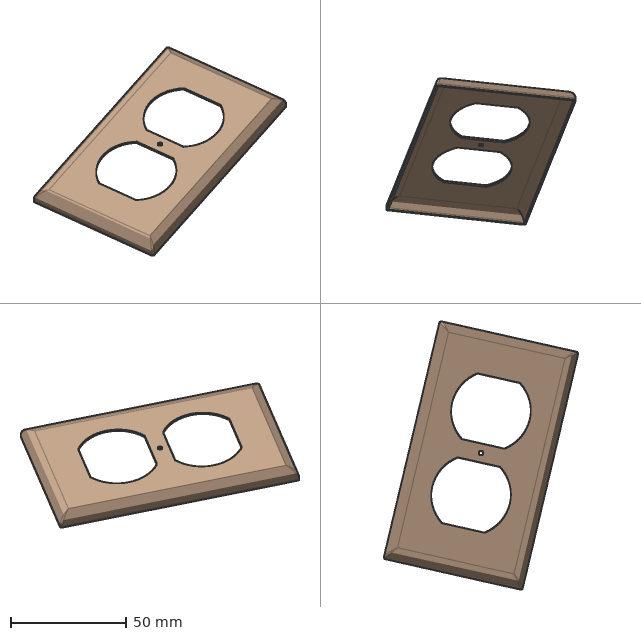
import cadquery as cq

width = 62.0
length = 108.5
height = 6.0
edge_radius = 5.0
corner_radius = 1.0

wall = 1.0

opening_pitch = 38.4
opening_width = 34.5
opening_height = 30.1
opening_flat = 18.9

screw_diameter = 2.0


def rounded_cushion(x_size, y_size, z_size, radius):
    """Block with rounded top edges that meet in mitres at sharp corners."""
    block = cq.Workplane("XY").box(x_size, y_size, z_size, centered=(True, True, False))
    return block.faces(">Z").edges().fillet(radius)


def outer_body():
    """Outer plate shape with its mitred corners softened."""
    body = rounded_cushion(width, length, height, edge_radius)
    return body.edges("|Z").fillet(corner_radius)


def underside_hollow():
    """Space under the plate, one wall thickness inside the outer surface."""
    return rounded_cushion(width - 2 * wall, length - 2 * wall, height - wall, edge_radius - wall)


def receptacle_opening(y_center):
    """Through cutter with flat ends and arc sides."""
    half_flat = opening_flat / 2
    half_width = opening_width / 2
    half_height = opening_height / 2
    return (
        cq.Workplane("XY")
        .center(0, y_center)
        .moveTo(-half_flat, half_height)
        .lineTo(half_flat, half_height)
        .threePointArc((half_width, 0), (half_flat, -half_height))
        .lineTo(-half_flat, -half_height)
        .threePointArc((-half_width, 0), (-half_flat, half_height))
        .close()
        .extrude(height)
    )


plate = outer_body().cut(underside_hollow())
for side in (-1, 1):
    plate = plate.cut(receptacle_opening(side * opening_pitch / 2))

screw_hole = cq.Workplane("XY").circle(screw_diameter / 2).extrude(height)
result = plate.cut(screw_hole)